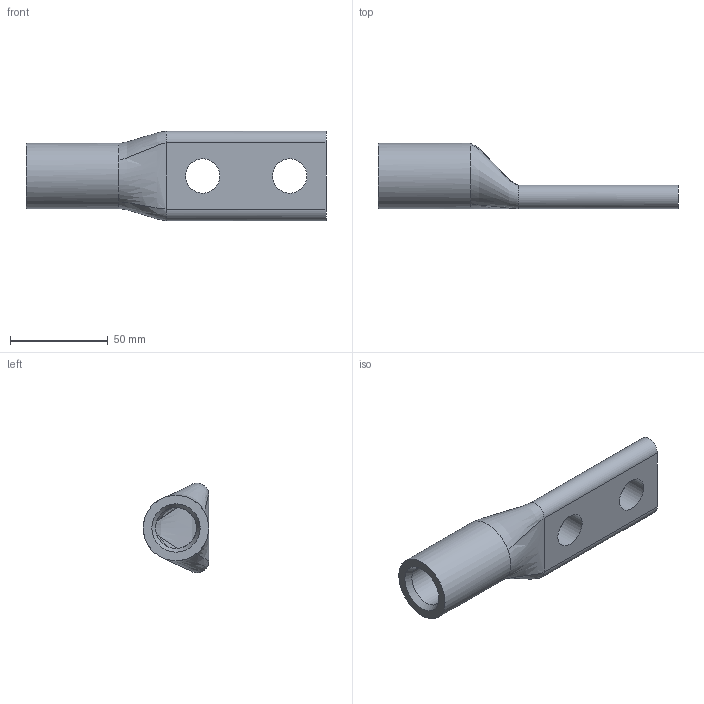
import cadquery as cq
import math


total_length = 153.16
barrel_length = 47.4
transition_length = 24.1
pad_start = barrel_length + transition_length

barrel_radius = 16.7
bore_radius = 10.45
mouth_radius = 12.3
mouth_depth = 3.175

pad_width = 45.72
pad_thickness = 12.0
pad_center_y = pad_thickness / 2 - barrel_radius
pad_flat_half = (pad_width - pad_thickness) / 2

slit_thickness = 0.2

hole_diameter = 17.5
hole_spacing = 44.45
end_hole_distance = 18.5

front_upper_angle = 30
back_upper_angle = 160
back_lower_angle = 200
front_lower_angle = 308

end_tangency = 0.6
inner_stations = (0.1, 0.25, 0.5, 0.75, 0.9)
edge_spans = 12


def circle_point(radius, angle):
    """Y and Z on a circle around the barrel axis, angle in degrees from -Y towards +Z."""
    turn = math.radians(angle)
    return -radius * math.cos(turn), radius * math.sin(turn)


def flat_point(side, half_thickness, share):
    """Y and Z on a stadium flat; side -1 runs up the front and +1 runs down the back."""
    return pad_center_y + side * half_thickness, side * pad_flat_half * (1 - 2 * share)


def round_point(side, half_thickness, share):
    """Y and Z on a stadium end; side +1 is the top end and -1 the bottom end."""
    offset_y, offset_z = circle_point(half_thickness, 180 * share)
    return pad_center_y + side * offset_y, side * (pad_flat_half + offset_z)


SECTION_EDGES = (
    (flat_point, -1, front_lower_angle - 360, front_upper_angle),
    (round_point, 1, front_upper_angle, back_upper_angle),
    (flat_point, 1, back_upper_angle, back_lower_angle),
    (round_point, -1, back_lower_angle, front_lower_angle),
)


def station(step):
    """X and blend share of a transition section: cubic curves tangent to X at both ends."""
    blend = step**2 * (3 - 2 * step)
    advance = blend + end_tangency * step * (1 - step) * (1 - 2 * step)
    return barrel_length + transition_length * advance, blend


def transition_edge(radius, half_thickness, step, stadium_point, side, start_angle, end_angle):
    """One edge of a transition section, part of the way from a circle arc to a stadium edge."""
    x, blend = station(step)

    def point(share):
        circle_y, circle_z = circle_point(radius, start_angle + share * (end_angle - start_angle))
        stadium_y, stadium_z = stadium_point(side, half_thickness, share)
        y = circle_y + blend * (stadium_y - circle_y)
        z = circle_z + blend * (stadium_z - circle_z)
        return cq.Vector(x, y, z)

    if step == 1 and stadium_point is flat_point:
        return cq.Edge.makeLine(point(0), point(1))
    if step in (0, 1):
        return cq.Edge.makeThreePointArc(point(0), point(0.5), point(1))
    return cq.Edge.makeSpline([point(i / edge_spans) for i in range(edge_spans + 1)])


def transition_section(radius, half_thickness, step):
    """Closed wire part of the way from a circle to a stadium."""
    edges = [transition_edge(radius, half_thickness, step, *edge) for edge in SECTION_EDGES]
    return cq.Wire.assembleEdges(edges)


def transition(radius, thickness):
    """Solid that changes from a circle at the barrel to a stadium at the pad."""
    steps = (0, *inner_stations, 1)
    sections = [transition_section(radius, thickness / 2, step) for step in steps]
    return cq.Workplane(obj=cq.Solid.makeLoft(sections))


def barrel():
    return cq.Workplane("YZ").circle(barrel_radius).extrude(barrel_length)


def pad():
    section = cq.Workplane("YZ", origin=(pad_start, pad_center_y, 0))
    return section.slot2D(pad_width, pad_thickness, 90).extrude(total_length - pad_start)


def bore():
    """Cylindrical bore with a tapered mouth."""
    mouth = cq.Solid.makeCone(mouth_radius, bore_radius, mouth_depth, cq.Vector(), cq.Vector(1, 0, 0))
    return cq.Workplane("YZ").circle(bore_radius).extrude(barrel_length).union(cq.Workplane(obj=mouth))


def pad_holes():
    end_hole_x = total_length - end_hole_distance
    centers = [(end_hole_x - hole_spacing, 0), (end_hole_x, 0)]
    plane = cq.Workplane("XZ", origin=(0, pad_center_y, 0))
    return plane.pushPoints(centers).circle(hole_diameter / 2).extrude(pad_thickness, both=True)


body = barrel().union(transition(barrel_radius, pad_thickness)).union(pad())
cavity = bore().union(transition(bore_radius, slit_thickness))
result = body.cut(cavity).cut(pad_holes()).solids()